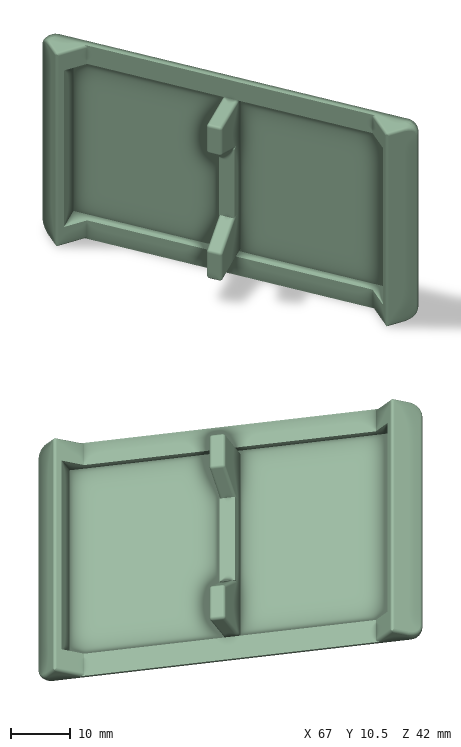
import cadquery as cq
PLATE_WIDTH = 67.0
PLATE_HEIGHT = 42.0
PLATE_THICKNESS = 3.0
BACK_RADIUS = PLATE_THICKNESS
CORNER_RADIUS = 2.0
EDGE_RADIUS = 0.5

RIDGE_WIDTH = 8.0
RIDGE_DEPTH = RIDGE_WIDTH / 2

POCKET_WIDTH = 57.0
POCKET_HEIGHT = 34.0
POCKET_DEPTH = 1.5

RIB_WIDTH = 2.75
RIB_HALF_LENGTH = 16.7
TAB_REACH = 7.5
TAB_TIP_LENGTH = 6.0
BAR_REACH = 1.5
BAR_HALF_LENGTH = 7.5

HALF_WIDTH = PLATE_WIDTH / 2
HALF_HEIGHT = PLATE_HEIGHT / 2
TOLERANCE = 0.01
SIDES = (-1, 1)


def pick_edges(body, wanted):
    """Edges of the body for which wanted(centre, extents) is true."""
    edges = [edge for edge in body.edges().vals() if wanted(edge.Center(), edge.BoundingBox())]
    return body.newObject(edges)


def rounded_section(plane, half_size):
    """Plate cross-section with Y as its thickness; both back corners are full-thickness arcs."""
    flat_half = half_size - BACK_RADIUS
    return (
        cq.Workplane(plane)
        .moveTo(-half_size, 0)
        .radiusArc((-flat_half, BACK_RADIUS), BACK_RADIUS)
        .lineTo(flat_half, BACK_RADIUS)
        .radiusArc((half_size, 0), BACK_RADIUS)
        .close()
    )


def make_plate():
    """Plate with a rounded back rim and blended corners."""
    along_z = rounded_section("XY", HALF_WIDTH).extrude(HALF_HEIGHT, both=True)
    along_x = rounded_section("ZY", HALF_HEIGHT).extrude(HALF_WIDTH, both=True)
    plate = along_z.intersect(along_x)
    corner_seams = pick_edges(plate, lambda c, box: min(box.xlen, box.ylen, box.zlen) > TOLERANCE)
    return corner_seams.fillet(CORNER_RADIUS)


def make_ridge(side):
    """Triangular ridge along one end (side -1 or +1), trimmed to the rounded corners."""
    outer_x = side * HALF_WIDTH
    prism = (
        cq.Workplane("XY")
        .moveTo(outer_x, 0)
        .lineTo(outer_x - side * RIDGE_WIDTH / 2, -RIDGE_DEPTH)
        .lineTo(outer_x - side * RIDGE_WIDTH, 0)
        .close()
        .extrude(HALF_HEIGHT, both=True)
    )
    column = (
        cq.Workplane("XZ")
        .rect(PLATE_WIDTH, PLATE_HEIGHT)
        .extrude(RIDGE_DEPTH)
        .edges("|Y")
        .fillet(CORNER_RADIUS)
    )
    return prism.intersect(column)


def round_outer_rim(body):
    """Round the line where rim and ridge meet, running on around the ridge's outer flank."""
    rim = pick_edges(body, lambda c, box: abs(c.y) < TOLERANCE and abs(c.x) > HALF_WIDTH - TOLERANCE)
    return rim.fillet(EDGE_RADIUS)


def round_inner_flank(ridge):
    """Round the crest of a ridge and both ends of its inner flank."""
    crest_x = HALF_WIDTH - RIDGE_WIDTH / 2

    def wanted(centre, box):
        is_crest = box.zlen > TOLERANCE and abs(centre.y + RIDGE_DEPTH) < TOLERANCE
        is_flank_end = box.zlen < TOLERANCE and box.ylen > TOLERANCE and abs(centre.x) < crest_x
        return is_crest or is_flank_end

    return pick_edges(ridge, wanted).fillet(EDGE_RADIUS)


def make_cover():
    """Plate and ridges: the outer rim is rounded on the joined body, the inner flanks by trimming."""
    cover = make_plate()
    envelope = cq.Workplane("XY").box(PLATE_WIDTH, PLATE_THICKNESS, PLATE_HEIGHT)
    envelope = envelope.translate((0, PLATE_THICKNESS / 2, 0))
    for side in SIDES:
        ridge = make_ridge(side)
        cover = cover.union(ridge)
        envelope = envelope.union(round_inner_flank(ridge))
    return round_outer_rim(cover).intersect(envelope)


def make_pocket():
    """Cutter reaching from the pocket floor out past the ridge crests."""
    cutter_depth = POCKET_DEPTH + RIDGE_DEPTH
    pocket = cq.Workplane("XY").box(POCKET_WIDTH, cutter_depth, POCKET_HEIGHT)
    return pocket.translate((0, POCKET_DEPTH - cutter_depth / 2, 0))


def make_tab(side):
    """Tapered tab at the lower (-1) or upper (+1) end of the rib, rounded except at its root."""
    outer_z = side * RIB_HALF_LENGTH
    tab = (
        cq.Workplane("YZ")
        .moveTo(POCKET_DEPTH, outer_z)
        .lineTo(-TAB_REACH, outer_z)
        .lineTo(-TAB_REACH, outer_z - side * TAB_TIP_LENGTH)
        .lineTo(-BAR_REACH, side * BAR_HALF_LENGTH)
        .lineTo(POCKET_DEPTH, side * BAR_HALF_LENGTH)
        .close()
        .extrude(RIB_WIDTH / 2, both=True)
    )
    tip_and_sides = pick_edges(
        tab,
        lambda c, box: c.y < -TAB_REACH + TOLERANCE
        or (box.ylen > TOLERANCE and (c.y < -BAR_REACH and abs(c.z) > BAR_HALF_LENGTH + TOLERANCE)),
    )
    return tip_and_sides.fillet(EDGE_RADIUS)


def make_rib():
    """Low bar joining the two tabs."""
    bar_depth = POCKET_DEPTH + BAR_REACH
    rib = cq.Workplane("XY").box(RIB_WIDTH, bar_depth, 2 * BAR_HALF_LENGTH)
    rib = rib.translate((0, POCKET_DEPTH - bar_depth / 2, 0))
    for side in SIDES:
        rib = rib.union(make_tab(side))
    return rib


result = make_cover().cut(make_pocket()).union(make_rib())